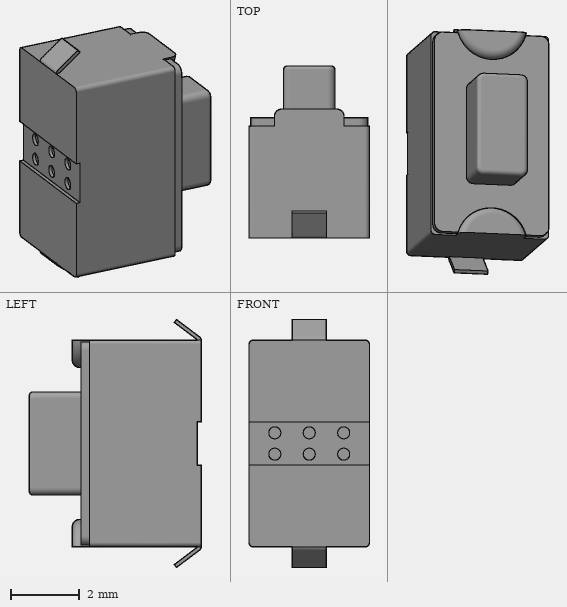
import cadquery as cq
import math


housing_width = 3.5
housing_height = 6.0
housing_corner_radius = 0.125
base_depth = 0.87
cover_back = 3.25

tongue_width = 1.3
tongue_reach = 0.625
tongue_thickness = 0.1
tongue_corner_radius = 0.1

plate_width = 3.4
plate_height = 5.9
plate_corner_radius = 0.25
plate_back = 3.5

clip_width = 2.03
clip_height = 0.8
clip_back = 3.75
clip_edge_radius = 0.22

button_width = 1.5
button_height = 3.0
button_back = 5.0
button_corner_radius = 0.2
button_end_radius = 0.12

groove_height = 1.25
groove_depth = 0.12
hole_diameter = 0.35
hole_depth = 0.1
hole_columns = 3
hole_rows = 2
hole_pitch_x = 1.0
hole_pitch_z = 0.62

terminal_span = 7.2
terminal_width = 1.0
terminal_thickness = 0.11
terminal_inner_end = 2.02
terminal_bend_start = 2.98
terminal_bend_radius = 0.15
terminal_bend_angle = 53.0


def block(width, height, y_start, y_end):
    """Box centred on X = Z = 0 that spans y_start to y_end."""
    depth = y_end - y_start
    return cq.Workplane("XY").box(width, depth, height).translate((0, y_start + depth / 2, 0))


def rounded_block(width, height, y_start, y_end, radius):
    """Centred box with its four Y-direction edges rounded."""
    return block(width, height, y_start, y_end).edges("|Y").fillet(radius)


def mirrored_pair(upper):
    """The upper shape and its mirror image below Z = 0."""
    return [upper, upper.mirror("XY")]


def make_tongue():
    tongue_end = base_depth + tongue_reach
    tongue = block(tongue_width, tongue_thickness, 0, tongue_end)
    tongue = tongue.faces(">Y").edges("|Z").fillet(tongue_corner_radius)
    return tongue.translate((0, 0, (housing_height - tongue_thickness) / 2))


def make_clip():
    """Half-moon clip: flat on top, curved free edge rounded toward the button side."""
    top = housing_height / 2
    clip = (
        cq.Workplane("XZ", origin=(0, cover_back, 0))
        .moveTo(-clip_width / 2, top)
        .threePointArc((0, top - clip_height), (clip_width / 2, top))
        .close()
        .extrude(cover_back - clip_back)
    )
    curved_edge = clip.faces(">Y").edges("%CIRCLE")
    return curved_edge.fillet(clip_edge_radius)


def make_button():
    button = rounded_block(button_width, button_height, cover_back, button_back, button_corner_radius)
    return button.faces(">Y").edges().fillet(button_end_radius)


def make_terminal():
    """Strip flush with Y = 0 that bends toward +Y above the housing."""
    bend = math.radians(terminal_bend_angle)
    outer_radius = terminal_bend_radius
    inner_radius = outer_radius - terminal_thickness

    def bend_point(radius, angle):
        y = outer_radius - radius * math.cos(angle)
        z = terminal_bend_start + radius * math.sin(angle)
        return (y, z)

    outer_end = bend_point(outer_radius, bend)
    inner_end = bend_point(inner_radius, bend)
    leg_rise = terminal_span / 2 - outer_end[1]
    leg_run = leg_rise * math.tan(bend)

    profile = (
        cq.Workplane("YZ")
        .moveTo(0, terminal_inner_end)
        .lineTo(0, terminal_bend_start)
        .threePointArc(bend_point(outer_radius, bend / 2), outer_end)
        .lineTo(outer_end[0] + leg_run, outer_end[1] + leg_rise)
        .lineTo(inner_end[0] + leg_run, inner_end[1] + leg_rise)
        .lineTo(*inner_end)
        .threePointArc(bend_point(inner_radius, bend / 2), (terminal_thickness, terminal_bend_start))
        .lineTo(terminal_thickness, terminal_inner_end)
        .close()
    )
    return profile.extrude(terminal_width / 2, both=True)


def make_holes():
    return (
        cq.Workplane("XZ", origin=(0, groove_depth, 0))
        .rarray(hole_pitch_x, hole_pitch_z, hole_columns, hole_rows)
        .circle(hole_diameter / 2)
        .extrude(-hole_depth)
    )


base = rounded_block(housing_width, housing_height, 0, base_depth, housing_corner_radius)
for tongue in mirrored_pair(make_tongue()):
    base = base.union(tongue)
base = base.cut(block(housing_width, groove_height, 0, groove_depth))
base = base.cut(make_holes())

cover = rounded_block(housing_width, housing_height, base_depth, cover_back, housing_corner_radius)
cover = cover.cut(base)
plate = rounded_block(plate_width, plate_height, cover_back, plate_back, plate_corner_radius)

parts = [cover, plate, make_button()]
parts += mirrored_pair(make_clip())
parts += mirrored_pair(make_terminal())

body = base
for part in parts:
    body = body.union(part, clean=False)
result = cq.Workplane(body.solids().val())